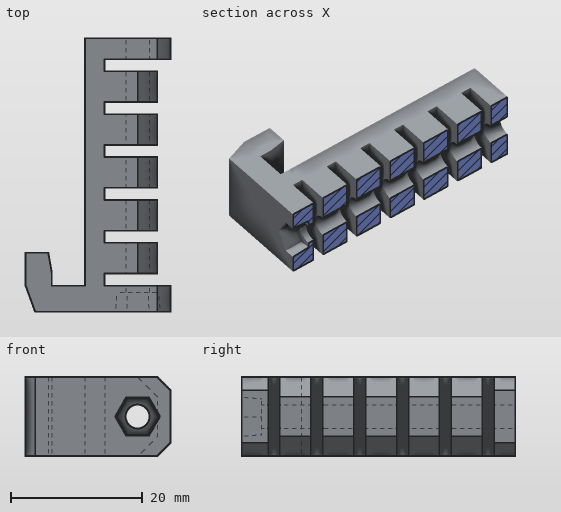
import cadquery as cq
import math

width = 22.0
length = 41.5
height = 12.0

spine_left = 9.0
spine_thickness = 3.0
near_jaw_thickness = 4.0
jaw_chamfer = 2.0

tooth_count = 5
tooth_length = 4.7
slot_width = 1.8
tooth_tip_x = 20.0
tooth_chamfer = 3.0

hook_top_y = 9.0
hook_thickness = 4.0
hook_taper_angle = 10.0
hook_taper_start_y = 6.0
hook_corner_angle = 20.0
hook_corner_y = 4.0

screw_x = 17.0
screw_diameter = 3.6
nut_sides = 6
nut_mouth_diameter = 6.8
nut_floor_diameter = 6.3
nut_depth = 3.0

slot_pitch = tooth_length + slot_width
comb_length = tooth_count * slot_pitch + slot_width
far_jaw_y = near_jaw_thickness + comb_length
far_jaw_thickness = length - far_jaw_y
spine_right = spine_left + spine_thickness
screw_plane = cq.Plane(origin=(screw_x, 0, height / 2), xDir=(1, 0, 0), normal=(0, 1, 0))
hook_corner_x = hook_corner_y * math.tan(math.radians(hook_corner_angle))
hook_taper = (hook_top_y - hook_taper_start_y) * math.tan(math.radians(hook_taper_angle))
hook_tip_thickness = hook_thickness - hook_taper


def chamfered_bar(left, right, y_start, y_length, chamfer):
    """Full-height block whose top and bottom right-hand edges are chamfered."""
    block = cq.Workplane("XY").box(right - left, y_length, height, centered=False)
    block = block.edges(">X and |Y").chamfer(chamfer)
    return block.translate((left, y_start, 0))


def make_hook():
    """Hook profile, reaching from the left side to the spine."""
    outline = [
        (hook_corner_x, 0),
        (spine_right, 0),
        (spine_right, near_jaw_thickness),
        (hook_thickness, near_jaw_thickness),
        (hook_thickness, hook_taper_start_y),
        (hook_tip_thickness, hook_top_y),
        (0, hook_top_y),
        (0, hook_corner_y),
    ]
    return cq.Workplane("XY").polyline(outline).close().extrude(height)


def add_teeth(body):
    """Body with a row of equal teeth separated from each other and the jaws by slots."""
    for index in range(tooth_count):
        y_start = near_jaw_thickness + slot_width + index * slot_pitch
        tooth = chamfered_bar(spine_left, tooth_tip_x, y_start, tooth_length, tooth_chamfer)
        body = body.union(tooth)
    return body


def make_screw_hole():
    """Cylinder along Y through the jaws and all teeth."""
    return cq.Workplane(screw_plane).circle(screw_diameter / 2).extrude(length)


def make_nut_pocket():
    """Hexagonal pocket in the near jaw, narrowing towards its floor."""
    mouth = cq.Workplane(screw_plane).polygon(nut_sides, nut_mouth_diameter)
    return mouth.workplane(offset=nut_depth).polygon(nut_sides, nut_floor_diameter).loft(ruled=True)


spine = cq.Workplane("XY").box(spine_thickness, length, height, centered=False)
body = spine.translate((spine_left, 0, 0)).union(make_hook())
body = body.union(chamfered_bar(spine_left, width, 0, near_jaw_thickness, jaw_chamfer))
body = body.union(chamfered_bar(spine_left, width, far_jaw_y, far_jaw_thickness, jaw_chamfer))
body = add_teeth(body)
result = body.cut(make_screw_hole()).cut(make_nut_pocket())